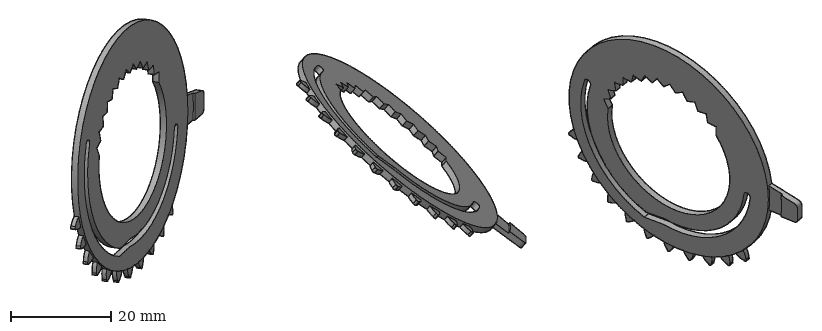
import cadquery as cq
import math

overall_length = 58.45
thickness = 1.4
step_thickness = 1.0
ring_radius = 25.3
bore_radius = 15.5

tooth_count = 11
tooth_pitch = 11.25
first_tooth_angle = -44.2
tooth_tip_radius = 27.65
tooth_flank_radius = 26.5
tooth_root_half_width = 1.3
tooth_flank_half_width = 0.95
tooth_tip_rounding = 0.35

notch_count = 12
notch_pitch = 11.0
first_notch_angle = -135.0
notch_apex_radius = 16.95
notch_square_side = 2.9

slot_width = 1.6
slot_low_radius = 20.0
slot_high_radius = 21.5
slot_start_angle = -84.3
slot_rise_start_angle = 3.5
slot_rise_end_angle = 16.0
slot_end_angle = 106.8

tab_root_half_width = 3.2
tab_tip_half_width = 2.35
tab_corner_radius = 1.0
tab_step_radius = 28.65

last_tooth_angle = math.radians(first_tooth_angle + (tooth_count - 1) * tooth_pitch)
tip_centre_radius = tooth_tip_radius - tooth_tip_rounding
tooth_reach = tip_centre_radius * math.sin(last_tooth_angle) + tooth_tip_rounding
tab_tip_y = overall_length - tooth_reach
tab_root_y = math.sqrt(ring_radius**2 - tab_root_half_width**2)


def polar(radius, angle, sideways=0.0):
    """(Y, Z) point at an angle from -Z towards -Y, shifted sideways along the tangent."""
    a = math.radians(angle)
    y = -radius * math.sin(a) - sideways * math.cos(a)
    z = -radius * math.cos(a) + sideways * math.sin(a)
    return y, z


def plate():
    return cq.Workplane("YZ")


def make_ring():
    return plate().circle(ring_radius).extrude(thickness)


def make_tab():
    inner_y = (bore_radius + ring_radius) / 2
    tab = (
        plate()
        .moveTo(inner_y, -tab_root_half_width)
        .lineTo(tab_root_y, -tab_root_half_width)
        .lineTo(tab_tip_y, -tab_tip_half_width)
        .lineTo(tab_tip_y, tab_tip_half_width)
        .lineTo(tab_root_y, tab_root_half_width)
        .lineTo(inner_y, tab_root_half_width)
        .close()
        .extrude(thickness)
        .edges("|X and >Y")
        .fillet(tab_corner_radius)
    )
    recess = (
        plate()
        .workplane(offset=step_thickness)
        .circle(tab_step_radius)
        .circle(ring_radius)
        .extrude(thickness - step_thickness)
    )
    return tab.cut(recess)


def make_tooth(angle):
    root_depth = 0.6
    root_radius = math.sqrt(ring_radius**2 - tooth_root_half_width**2)
    return (
        plate()
        .moveTo(*polar(root_radius - root_depth, angle, -tooth_root_half_width))
        .lineTo(*polar(root_radius, angle, -tooth_root_half_width))
        .threePointArc(
            polar(tooth_flank_radius, angle, -tooth_flank_half_width),
            polar(tip_centre_radius, angle, -tooth_tip_rounding),
        )
        .threePointArc(
            polar(tooth_tip_radius, angle),
            polar(tip_centre_radius, angle, tooth_tip_rounding),
        )
        .threePointArc(
            polar(tooth_flank_radius, angle, tooth_flank_half_width),
            polar(root_radius, angle, tooth_root_half_width),
        )
        .lineTo(*polar(root_radius - root_depth, angle, tooth_root_half_width))
        .close()
        .extrude(step_thickness)
    )


def make_notch(angle):
    """A square prism with one corner pointing radially outwards."""
    half_diagonal = notch_square_side / math.sqrt(2)
    centre_radius = notch_apex_radius - half_diagonal
    corners = [
        polar(notch_apex_radius, angle),
        polar(centre_radius, angle, half_diagonal),
        polar(centre_radius - half_diagonal, angle),
        polar(centre_radius, angle, -half_diagonal),
    ]
    return plate().polyline(corners).close().extrude(thickness)


def make_slot():
    half_width = slot_width / 2
    low_inner = slot_low_radius - half_width
    low_outer = slot_low_radius + half_width
    high_inner = slot_high_radius - half_width
    high_outer = slot_high_radius + half_width
    low_mid_angle = (slot_start_angle + slot_rise_start_angle) / 2
    high_mid_angle = (slot_rise_end_angle + slot_end_angle) / 2
    start_cap = math.degrees(half_width / slot_low_radius)
    end_cap = math.degrees(half_width / slot_high_radius)
    return (
        plate()
        .moveTo(*polar(low_inner, slot_start_angle))
        .threePointArc(polar(low_inner, low_mid_angle), polar(low_inner, slot_rise_start_angle))
        .lineTo(*polar(high_inner, slot_rise_end_angle))
        .threePointArc(polar(high_inner, high_mid_angle), polar(high_inner, slot_end_angle))
        .threePointArc(
            polar(slot_high_radius, slot_end_angle + end_cap),
            polar(high_outer, slot_end_angle),
        )
        .threePointArc(polar(high_outer, high_mid_angle), polar(high_outer, slot_rise_end_angle))
        .lineTo(*polar(low_outer, slot_rise_start_angle))
        .threePointArc(polar(low_outer, low_mid_angle), polar(low_outer, slot_start_angle))
        .threePointArc(
            polar(slot_low_radius, slot_start_angle - start_cap),
            polar(low_inner, slot_start_angle),
        )
        .close()
        .extrude(thickness)
    )


result = make_ring().union(make_tab())

for i in range(tooth_count):
    result = result.union(make_tooth(first_tooth_angle + i * tooth_pitch))

result = result.cut(plate().circle(bore_radius).extrude(thickness))

for i in range(notch_count):
    result = result.cut(make_notch(first_notch_angle - i * notch_pitch))

result = result.cut(make_slot())